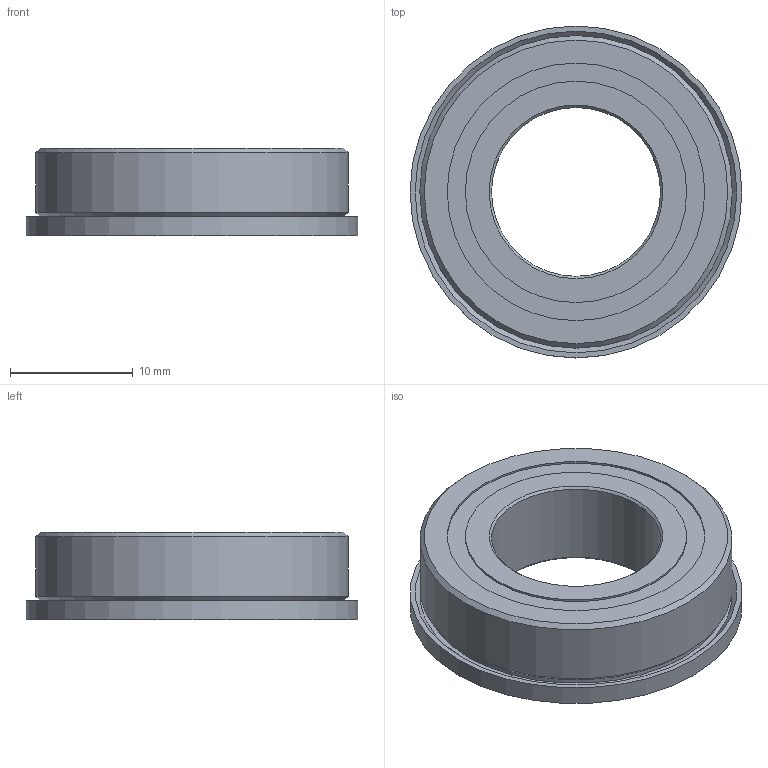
import cadquery as cq

flange_radius = 26.99 / 2
body_radius = 25.4 / 2
bore_radius = 13.74 / 2
height = 7.14
flange_thickness = 1.57

body_chamfer = 0.36
bore_chamfer = 0.19

recess_inner_radius = 9.0
recess_outer_radius = 10.47
recess_depth = 0.16

groove_run_on_flange = 0.38
groove_run_on_body = 0.34
groove_depth = 0.38


def make_ring():
    """Flange disc and chamfered body joined on one axis, bored right through."""
    flange = cq.Workplane("XY").circle(flange_radius).extrude(flange_thickness)
    body = cq.Workplane("XY").circle(body_radius).extrude(height)
    body = body.faces(">Z").edges().chamfer(body_chamfer)
    bore = cq.Workplane("XY").circle(bore_radius).extrude(height)
    return flange.union(body).cut(bore)


def chamfer_bore(ring):
    """Break both mouths of the bore."""
    for face in (">Z", "<Z"):
        mouth = ring.faces(face).edges(cq.selectors.RadiusNthSelector(0))
        ring = mouth.chamfer(bore_chamfer)
    return ring


def make_recess():
    """Annular cutter for the recess in the upper face."""
    return (
        cq.Workplane("XY", origin=(0, 0, height - recess_depth))
        .circle(recess_outer_radius)
        .circle(recess_inner_radius)
        .extrude(recess_depth)
    )


def make_relief_groove():
    """Revolved cutter: flat floor and upright wall, each meeting its rim by a 45 degree slope."""
    floor_z = flange_thickness - groove_depth
    wall_radius = body_radius - groove_depth
    flange_edge_radius = body_radius + groove_run_on_flange
    body_edge_z = flange_thickness + groove_run_on_body
    outline = [
        (flange_edge_radius, flange_thickness),
        (flange_edge_radius - groove_depth, floor_z),
        (wall_radius, floor_z),
        (wall_radius, body_edge_z - groove_depth),
        (body_radius, body_edge_z),
        (body_radius, flange_thickness),
    ]
    return cq.Workplane("XZ").polyline(outline).close().revolve(360, (0, 0), (0, 1))


result = chamfer_bore(make_ring()).cut(make_recess()).cut(make_relief_groove())